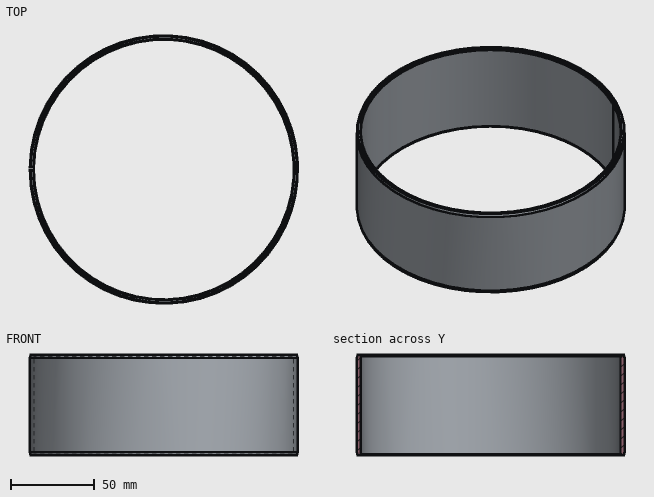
import cadquery as cq

outer_radius = 80.0
height = 60.0
wall = 2.5
inner_radius = outer_radius - wall

outer_bevel_width = 0.6
outer_bevel_height = 2.0
inner_bevel_width = 0.5
inner_bevel_height = 1.0

split_angle = 1.0
sweep_angle = 360 - split_angle


def make_split_ring():
    """Revolve the bevelled wall section from -X around through -Y, +X and +Y."""
    section = (
        cq.Workplane("XZ")
        .moveTo(-inner_radius - inner_bevel_width, 0)
        .lineTo(-outer_radius + outer_bevel_width, 0)
        .lineTo(-outer_radius, outer_bevel_height)
        .lineTo(-outer_radius, height - outer_bevel_height)
        .lineTo(-outer_radius + outer_bevel_width, height)
        .lineTo(-inner_radius - inner_bevel_width, height)
        .lineTo(-inner_radius, height - inner_bevel_height)
        .lineTo(-inner_radius, inner_bevel_height)
        .close()
    )
    return section.revolve(sweep_angle, (0, 0, 0), (0, 1, 0))


result = make_split_ring()